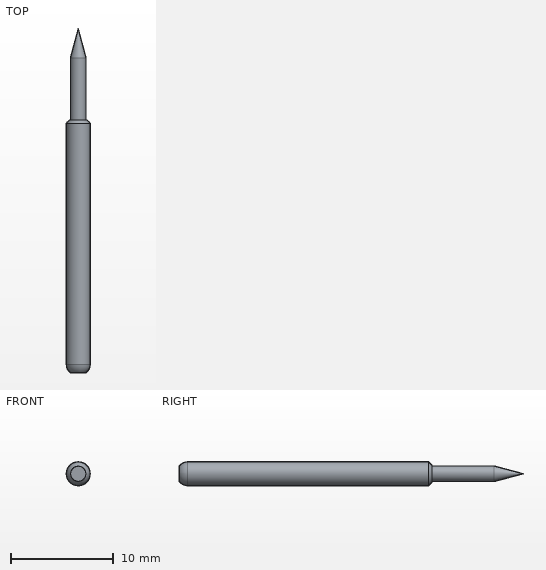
import cadquery as cq
import math

total_length = 33.6
shank_radius = 1.18
neck_radius = 0.77
tip_length = 2.85
neck_length = 6.05

shoulder_chamfer = 0.35

end_length = 0.85
end_face_radius = 0.75

end_face_y = -total_length / 2
end_round_y = end_face_y + end_length
tip_y = total_length / 2
neck_top_y = tip_y - tip_length
shoulder_y = neck_top_y - neck_length

end_drop = shank_radius - end_face_radius
end_arc_radius = (end_drop**2 + end_length**2) / (2 * end_drop)

half_end_length = end_length / 2
arc_center_radius = shank_radius - end_arc_radius
arc_middle_radius = arc_center_radius + math.sqrt(end_arc_radius**2 - half_end_length**2)
arc_middle = (arc_middle_radius, end_round_y - half_end_length)

half_profile = (
    cq.Workplane("XY")
    .moveTo(0, end_face_y)
    .lineTo(end_face_radius, end_face_y)
    .threePointArc(arc_middle, (shank_radius, end_round_y))
    .lineTo(shank_radius, shoulder_y - shoulder_chamfer)
    .lineTo(shank_radius - shoulder_chamfer, shoulder_y)
    .lineTo(neck_radius, shoulder_y)
    .lineTo(neck_radius, neck_top_y)
    .lineTo(0, tip_y)
    .close()
)

result = half_profile.revolve(360, (0, 0, 0), (0, 1, 0))